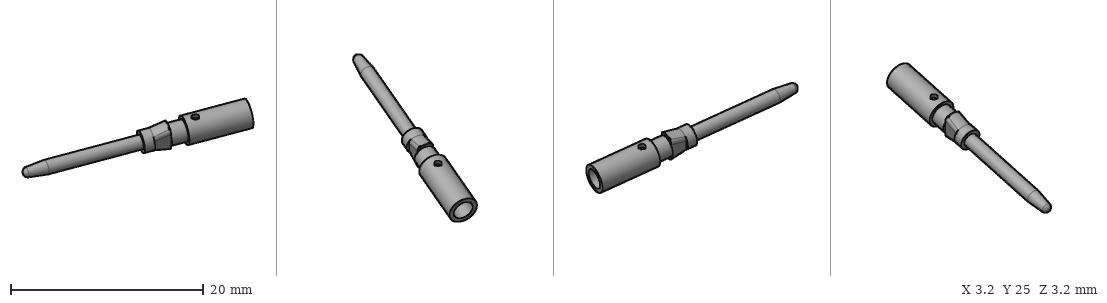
import cadquery as cq

TOTAL_LENGTH = 25.0
BARREL_END = 7.1
NECK_END = 8.9
BARB_END = 10.77
COLLAR_END = 11.9
TAPER_START = 22.4
DOME_HEIGHT = 0.45
DOME_START = TOTAL_LENGTH - DOME_HEIGHT

BARREL_RADIUS = 1.6
NECK_RADIUS = 1.225
PIN_RADIUS = 0.8
DOME_RIM_RADIUS = 0.57

BARB_CONE_RADIUS = 1.625
BARB_WIDTH = 1.86
BARB_CORNER_RADIUS = 0.5

BORE_RADIUS = 1.1
BORE_DEPTH = 6.5
INSPECTION_RADIUS = 0.4
INSPECTION_STATION = 5.87


def revolve_about_y(profile):
    """Revolve a closed (radius, y) profile a full turn about the Y axis."""
    return profile.close().revolve(360, (0, 0, 0), (0, 1, 0))


def cylinder(radius, start, end):
    """Cylinder on the contact axis between two stations."""
    return cq.Workplane("XZ").workplane(offset=start).circle(radius).extrude(end - start)


def tapered_pin():
    """Straight contact pin with a tapered lead-in and a domed tip."""
    sphere_radius = (DOME_RIM_RADIUS**2 + DOME_HEIGHT**2) / (2 * DOME_HEIGHT)
    profile = (
        cq.Workplane("XY")
        .moveTo(0, -COLLAR_END)
        .lineTo(PIN_RADIUS, -COLLAR_END)
        .lineTo(PIN_RADIUS, -TAPER_START)
        .lineTo(DOME_RIM_RADIUS, -DOME_START)
        .radiusArc((0, -TOTAL_LENGTH), sphere_radius)
    )
    return revolve_about_y(profile)


def barb():
    """Locking barb: narrows toward the tip, flattened on both X sides."""
    cone = revolve_about_y(
        cq.Workplane("XY")
        .moveTo(0, -NECK_END)
        .lineTo(BARB_CONE_RADIUS, -NECK_END)
        .lineTo(NECK_RADIUS, -BARB_END)
        .lineTo(0, -BARB_END)
    )
    length = BARB_END - NECK_END
    slab = (
        cq.Workplane("XY")
        .box(BARB_WIDTH, length, 2 * BARB_CONE_RADIUS)
        .translate((0, -NECK_END - length / 2, 0))
    )
    flattened = cone.intersect(slab)
    flat_corners = flattened.faces("<X or >X").edges("not |Z")
    rounded = flat_corners.fillet(BARB_CORNER_RADIUS)
    return rounded.intersect(cylinder(BARREL_RADIUS, NECK_END, BARB_END))


def inspection_hole():
    """Radial hole from the top of the barrel into the wire bore."""
    return (
        cq.Workplane("XY")
        .center(0, -INSPECTION_STATION)
        .circle(INSPECTION_RADIUS)
        .extrude(BARREL_RADIUS)
    )


barrel = cylinder(BARREL_RADIUS, 0, BARREL_END)
neck = cylinder(NECK_RADIUS, BARREL_END, NECK_END)
collar = cylinder(NECK_RADIUS, BARB_END, COLLAR_END)
wire_bore = cylinder(BORE_RADIUS, 0, BORE_DEPTH)

contact = barrel.union(neck).union(barb()).union(collar).union(tapered_pin())
result = contact.cut(wire_bore).cut(inspection_hole())